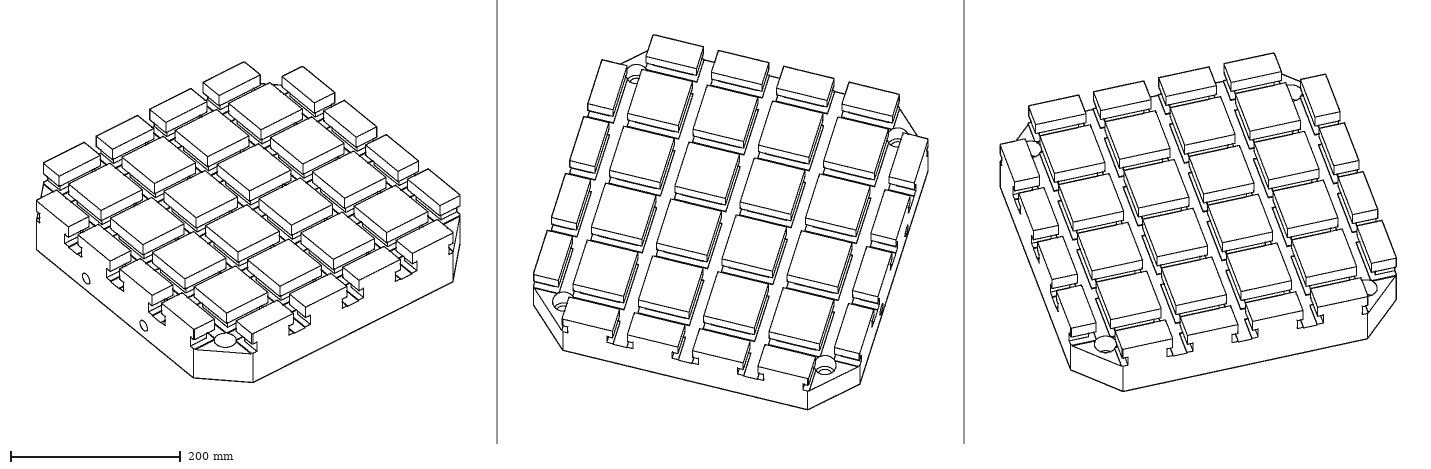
import cadquery as cq

side = 400.0
height = 75.0
corner_cut = 50.0

slot_pitch = 80.0
slots_per_direction = 5
neck_width = 18.0
neck_depth = 16.0
undercut_width = 32.0
undercut_depth = 30.0
groove_width = 17.0
groove_depth = 31.0

bolt_diameter = 18.0
counterbore_diameter = 26.0
counterbore_floor = 18.0

drill_diameter = 14.0
drill_spacing = 110.0
drill_height = 18.0
drill_depth = 32.0
drill_tip_length = 4.0

outer_offset = (slots_per_direction - 1) / 2 * slot_pitch
slot_offsets = [i * slot_pitch - outer_offset for i in range(slots_per_direction)]
undercut_ceiling = height - neck_depth
undercut_floor = height - undercut_depth
groove_floor = height - groove_depth


def block(x_size, y_size, bottom, top):
    """Block centred on the Z axis between two heights."""
    return cq.Workplane("XY", origin=(0, 0, bottom)).rect(x_size, y_size).extrude(top - bottom)


def make_plate():
    return block(side, side, 0, height).edges("|Z").chamfer(corner_cut)


def cut_t_slots(body):
    neck = block(side, neck_width, undercut_ceiling, height)
    undercut = block(side, undercut_width, undercut_floor, undercut_ceiling)
    groove = block(side, groove_width, groove_floor, undercut_floor)
    slot_along_x = neck.union(undercut).union(groove)
    slot_along_y = slot_along_x.rotate((0, 0, 0), (0, 0, 1), 90)
    for offset in slot_offsets:
        body = body.cut(slot_along_x.translate((0, offset, 0)))
        body = body.cut(slot_along_y.translate((offset, 0, 0)))
    return body


def clear_corners(body):
    """Level each corner to the groove floor, outward from the inner walls of the outermost grooves."""
    inner_wall = outer_offset - groove_width / 2
    corner_size = side / 2 - inner_wall
    corner_center = (side / 2 + inner_wall) / 2
    corner = block(corner_size, corner_size, groove_floor, height)
    for x in (-corner_center, corner_center):
        for y in (-corner_center, corner_center):
            body = body.cut(corner.translate((x, y, 0)))
    return body


def corner_cylinders(diameter, bottom, top):
    """Four upright cylinders centred on the outermost slot crossings."""
    spacing = 2 * outer_offset
    return (
        cq.Workplane("XY", origin=(0, 0, bottom))
        .rarray(spacing, spacing, 2, 2)
        .circle(diameter / 2)
        .extrude(top - bottom)
    )


def cut_bolt_holes(body):
    body = body.cut(corner_cylinders(bolt_diameter, 0, height))
    return body.cut(corner_cylinders(counterbore_diameter, counterbore_floor, undercut_ceiling))


def cut_drilled_holes(body):
    """Drilled holes with a conical tip, going inward from the -Y side."""
    radius = drill_diameter / 2
    drill = (
        cq.Workplane("XY")
        .polyline([(0, 0), (radius, 0), (radius, drill_depth), (0, drill_depth + drill_tip_length)])
        .close()
        .revolve(360, (0, 0, 0), (0, 1, 0))
    )
    for x in (-drill_spacing / 2, drill_spacing / 2):
        body = body.cut(drill.translate((x, -side / 2, drill_height)))
    return body


plate = make_plate()
plate = cut_t_slots(plate)
plate = clear_corners(plate)
plate = cut_bolt_holes(plate)
result = cut_drilled_holes(plate)